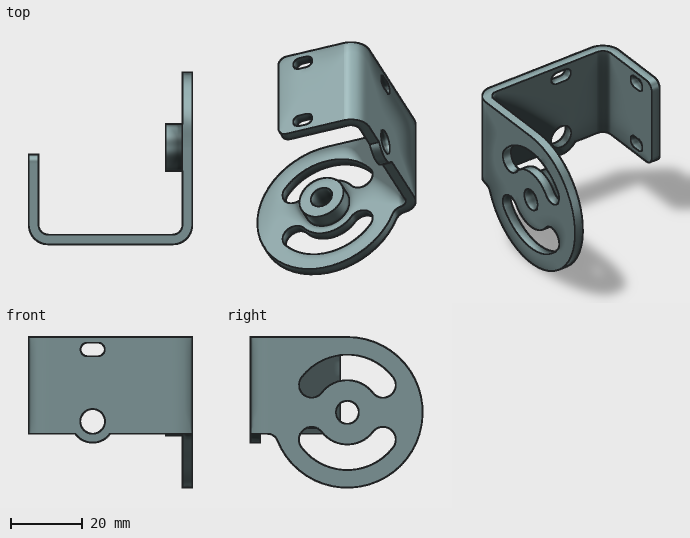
import cadquery as cq
import math

width = 45.55
depth = 48.0
wall_height = 27.0
sheet = 2.8
bend_radius = 5.45
short_arm_depth = 25.05
corner_radius = 2.5

disc_diameter = 42.0
disc_radius = disc_diameter / 2
disc_y = depth - disc_radius
disc_z = wall_height - disc_radius
disc_blend_radius = 2.8
boss_radius = 6.6
boss_length = 4.65
bore_radius = 3.15
arc_slot_inner_radius = 9.0
arc_slot_outer_radius = 16.05
arc_slot_end_angle = 37.5

slot_width = 3.7
arm_slot_length = 5.65
arm_slot_y = 17.75
front_slot_length = 6.65
front_hole_x = 17.8
front_hole_diameter = 6.8
lobe_radius = 5.95
upper_hole_z = 23.5
lower_hole_z = 3.5


def bent_sheet(bottom):
    """U-shaped bent strip from height bottom up to the top of the walls."""
    inner_radius = bend_radius - sheet
    outer = (
        cq.Workplane("XY", origin=(0, 0, bottom))
        .rect(width, depth, centered=False)
        .extrude(wall_height - bottom)
        .edges("|Z and <Y")
        .fillet(bend_radius)
    )
    inner = (
        cq.Workplane("XY", origin=(sheet, sheet, bottom))
        .rect(width - 2 * sheet, depth, centered=False)
        .extrude(wall_height - bottom)
        .edges("|Z and <Y")
        .fillet(inner_radius)
    )
    return outer.cut(inner)


def side_plane(x):
    """Sketch plane with local axes Y and Z and its normal along +X."""
    return cq.Workplane("YZ", origin=(x, 0, 0))


def front_plane():
    """Sketch plane with local axes X and Z on the front wall's inner face, normal along -Y."""
    return cq.Workplane(cq.Plane(origin=(0, sheet, 0), xDir=(1, 0, 0), normal=(0, -1, 0)))


def walls():
    """Front wall, short arm with rounded corners and the root of the long arm."""
    strip = bent_sheet(0)
    short_arm_trim = (
        cq.Workplane("XY", origin=(0, short_arm_depth, 0))
        .rect(width - sheet, depth, centered=False)
        .extrude(wall_height)
    )
    long_arm_trim = (
        cq.Workplane("XY", origin=(width - sheet, disc_y, 0))
        .rect(sheet, depth, centered=False)
        .extrude(wall_height)
    )
    strip = strip.cut(short_arm_trim)
    margin = 0.5
    short_arm_end = cq.selectors.BoxSelector(
        (-margin, short_arm_depth - margin, -margin),
        (sheet + margin, short_arm_depth + margin, wall_height + margin),
    )
    strip = strip.edges(short_arm_end).edges("|X").fillet(corner_radius)
    return strip.cut(long_arm_trim)


def disc():
    """Disc with the concave blend that runs into the lower edge of the wall."""
    plate = (
        side_plane(width - sheet)
        .center(disc_y, disc_z)
        .circle(disc_radius)
        .extrude(sheet)
    )
    centre_distance = disc_radius + disc_blend_radius
    blend_drop = disc_z + disc_blend_radius
    blend_y = disc_y - math.sqrt(centre_distance**2 - blend_drop**2)
    touch_ratio = disc_radius / centre_distance
    touch_y = disc_y + (blend_y - disc_y) * touch_ratio
    touch_z = disc_z - blend_drop * touch_ratio
    web = (
        side_plane(width - sheet)
        .moveTo(blend_y, 0)
        .lineTo(disc_y, 0)
        .lineTo(touch_y, touch_z)
        .radiusArc((blend_y, 0), -disc_blend_radius)
        .close()
        .extrude(sheet)
    )
    return plate.union(web).intersect(bent_sheet(disc_z - disc_radius))


def arc_slot(side):
    """Curved slot around the disc centre, above (side=1) or below (side=-1) it."""
    def point(radius, degrees):
        angle = math.radians(degrees)
        return (radius * math.cos(angle), side * radius * math.sin(angle))

    start = arc_slot_end_angle
    end = 180 - arc_slot_end_angle
    end_radius = (arc_slot_outer_radius - arc_slot_inner_radius) / 2
    middle_radius = arc_slot_inner_radius + end_radius
    tip = math.degrees(math.atan2(end_radius, middle_radius))
    tip_radius = math.hypot(end_radius, middle_radius)
    return (
        side_plane(width - sheet)
        .center(disc_y, disc_z)
        .moveTo(*point(arc_slot_outer_radius, start))
        .threePointArc(point(arc_slot_outer_radius, 90), point(arc_slot_outer_radius, end))
        .threePointArc(point(tip_radius, end + tip), point(arc_slot_inner_radius, end))
        .threePointArc(point(arc_slot_inner_radius, 90), point(arc_slot_inner_radius, start))
        .threePointArc(point(tip_radius, start - tip), point(arc_slot_outer_radius, start))
        .close()
        .extrude(sheet)
    )


def disc_cylinder(radius):
    """Cylinder on the disc axis, from the boss face to the outer face of the disc."""
    return (
        side_plane(width - sheet - boss_length)
        .center(disc_y, disc_z)
        .circle(radius)
        .extrude(boss_length + sheet)
    )


lobe = front_plane().center(front_hole_x, lower_hole_z).circle(lobe_radius).extrude(sheet)
front_hole = (
    front_plane()
    .center(front_hole_x, lower_hole_z)
    .circle(front_hole_diameter / 2)
    .extrude(sheet)
)
front_slot = (
    front_plane()
    .center(front_hole_x, upper_hole_z)
    .slot2D(front_slot_length, slot_width)
    .extrude(sheet)
)
arm_slots = (
    side_plane(0)
    .pushPoints([(arm_slot_y, lower_hole_z), (arm_slot_y, upper_hole_z)])
    .slot2D(arm_slot_length, slot_width)
    .extrude(sheet)
)

result = walls().union(disc()).union(lobe)
for slot_side in (1, -1):
    result = result.cut(arc_slot(slot_side))
result = result.union(disc_cylinder(boss_radius)).cut(disc_cylinder(bore_radius))
result = result.cut(front_hole).cut(front_slot).cut(arm_slots)